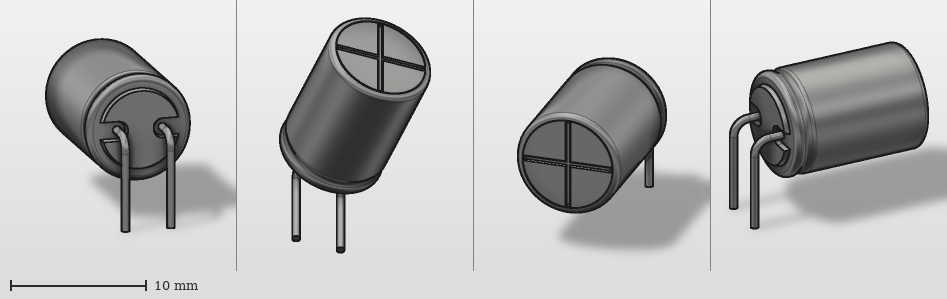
import cadquery as cq
import math

can_radius = 4.008
can_length = 11.02
rim_radius = 0.42

groove_center = 9.91
groove_depth = 0.23
groove_half_width = 0.57

recess_diameter = 7.0
recess_depth = 0.07
vent_length = 6.78
vent_width = 0.44
vent_depth = 0.11
vent_taper = 45

plug_base_radius = 3.08
plug_tip_radius = 2.95
plug_height = 0.41
slot_tip_width = 1.52

lead_diameter = 0.6
lead_offset = 1.74
total_length = 13.61
total_height = 11.1
bend_radius = 1.18
lead_embed = 0.27


def make_can():
    """Revolve the can outline, including the rounded rims and the crimp groove."""
    arc_angle = 2 * math.atan(groove_depth / groove_half_width)
    arc_radius = groove_half_width / (2 * math.sin(arc_angle))
    floor_radius = can_radius - groove_depth
    meet_radius = can_radius - groove_depth / 2
    meet_offset = groove_half_width / 2
    shoulder_mid_offset = groove_half_width - arc_radius * math.sin(arc_angle / 2)
    shoulder_mid_radius = can_radius - arc_radius * (1 - math.cos(arc_angle / 2))

    rim_inset = rim_radius * (1 - math.sqrt(0.5))
    rim_mid_radius = can_radius - rim_inset
    flat_radius = can_radius - rim_radius
    outline = (
        cq.Workplane("XY")
        .lineTo(0, flat_radius)
        .threePointArc((rim_inset, rim_mid_radius), (rim_radius, can_radius))
        .lineTo(groove_center - groove_half_width, can_radius)
        .threePointArc(
            (groove_center - shoulder_mid_offset, shoulder_mid_radius),
            (groove_center - meet_offset, meet_radius),
        )
        .threePointArc(
            (groove_center, floor_radius),
            (groove_center + meet_offset, meet_radius),
        )
        .threePointArc(
            (groove_center + shoulder_mid_offset, shoulder_mid_radius),
            (groove_center + groove_half_width, can_radius),
        )
        .lineTo(can_length - rim_radius, can_radius)
        .threePointArc((can_length - rim_inset, rim_mid_radius), (can_length, flat_radius))
        .lineTo(can_length, 0)
        .close()
    )
    return outline.revolve(360, (0, 0, 0), (1, 0, 0))


def make_end_recess():
    """Disc that sinks the closed end."""
    return cq.Workplane("YZ").circle(recess_diameter / 2).extrude(recess_depth)


def make_vent_groove(y_size, z_size):
    """One arm of the vent cross, narrowing with depth on all four sides."""
    return (
        cq.Workplane("YZ", origin=(recess_depth, 0, 0))
        .rect(y_size, z_size)
        .extrude(vent_depth, taper=vent_taper)
    )


def make_plug():
    """Cone on the lead end, cut down to the can by the two lead slots."""
    cone = (
        cq.Workplane("XY", origin=(can_length, 0, 0))
        .lineTo(0, plug_base_radius)
        .lineTo(plug_height, plug_tip_radius)
        .lineTo(plug_height, 0)
        .close()
        .revolve(360, (0, 0, 0), (1, 0, 0))
    )
    slot_draft = math.degrees(math.atan((plug_base_radius - plug_tip_radius) / plug_height))
    slot_run = plug_base_radius - lead_offset + slot_tip_width / 2
    slot_center = lead_offset + slot_run / 2
    slots = (
        cq.Workplane("YZ", origin=(can_length + plug_height, 0, 0))
        .pushPoints([(-slot_center, 0), (slot_center, 0)])
        .slot2D(slot_run + slot_tip_width, slot_tip_width)
        .extrude(-plug_height, taper=slot_draft)
    )
    return cone.cut(slots)


def make_lead(y):
    """Round wire that leaves the can along +X and bends down to -Z."""
    leg_x = total_length - lead_diameter / 2
    bend_start_x = leg_x - bend_radius
    bend_mid = bend_radius * math.sqrt(0.5)
    lead_start_x = can_length - lead_embed
    lead_bottom_z = can_radius - total_height
    path = (
        cq.Workplane("XZ", origin=(0, y, 0))
        .moveTo(lead_start_x, 0)
        .lineTo(bend_start_x, 0)
        .threePointArc(
            (bend_start_x + bend_mid, bend_mid - bend_radius),
            (leg_x, -bend_radius),
        )
        .lineTo(leg_x, lead_bottom_z)
    )
    return (
        cq.Workplane("YZ", origin=(lead_start_x, y, 0))
        .circle(lead_diameter / 2)
        .sweep(path)
    )


result = make_can().cut(make_end_recess())
for y_size, z_size in ((vent_length, vent_width), (vent_width, vent_length)):
    result = result.cut(make_vent_groove(y_size, z_size))

result = result.union(make_plug())
for side in (-1, 1):
    result = result.union(make_lead(side * lead_offset))